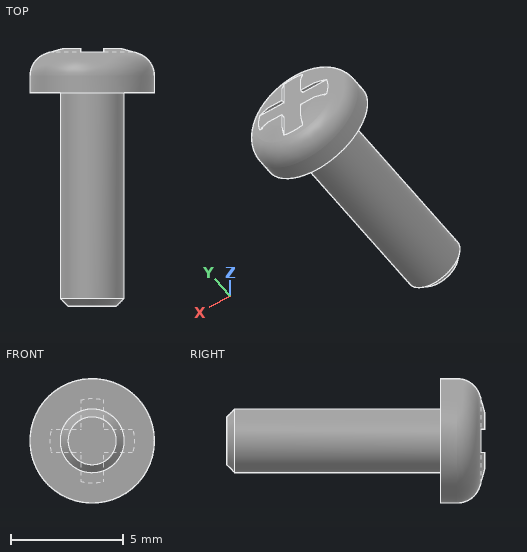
import cadquery as cq
import math

shank_diameter = 2.85
shank_length = 9.525
tip_chamfer = 0.355

head_diameter = 5.56
head_height = 1.985
rim_height = 0.76
shoulder_radius = 1.05
crown_radius = 5.6

slot_width = 1.02
slot_depth = 0.16


def make_shank():
    shank = cq.Workplane("XZ").circle(shank_diameter / 2).extrude(shank_length)
    return shank.faces("<Y").chamfer(tip_chamfer)


def make_head():
    """Revolve the half profile; the shoulder and crown arcs meet tangentially."""
    head_radius = head_diameter / 2
    shoulder_x = head_radius - shoulder_radius
    join_angle = math.asin(shoulder_x / (crown_radius - shoulder_radius))
    crown_y = rim_height - (crown_radius - shoulder_radius) * math.cos(join_angle)
    flat_angle = math.acos((head_height - crown_y) / crown_radius)

    def on_shoulder(angle):
        return (
            shoulder_x + shoulder_radius * math.sin(angle),
            rim_height + shoulder_radius * math.cos(angle),
        )

    def on_crown(angle):
        return (
            crown_radius * math.sin(angle),
            crown_y + crown_radius * math.cos(angle),
        )

    shoulder_middle = (join_angle + math.pi / 2) / 2
    crown_middle = (join_angle + flat_angle) / 2
    profile = (
        cq.Workplane("XY")
        .lineTo(head_radius, 0)
        .lineTo(head_radius, rim_height)
        .threePointArc(on_shoulder(shoulder_middle), on_shoulder(join_angle))
        .threePointArc(on_crown(crown_middle), on_crown(flat_angle))
        .lineTo(0, head_height)
        .close()
    )
    return profile.revolve(360, (0, 0, 0), (0, 1, 0))


def make_cross_slots():
    """Two crossing slots, along X and along Z, open at the top of the head."""
    slot_middle_y = head_height - slot_depth / 2
    along_x = cq.Workplane("XY").box(head_diameter, slot_depth, slot_width)
    along_z = cq.Workplane("XY").box(slot_width, slot_depth, head_diameter)
    return along_x.union(along_z).translate((0, slot_middle_y, 0))


result = make_head().union(make_shank()).cut(make_cross_slots())